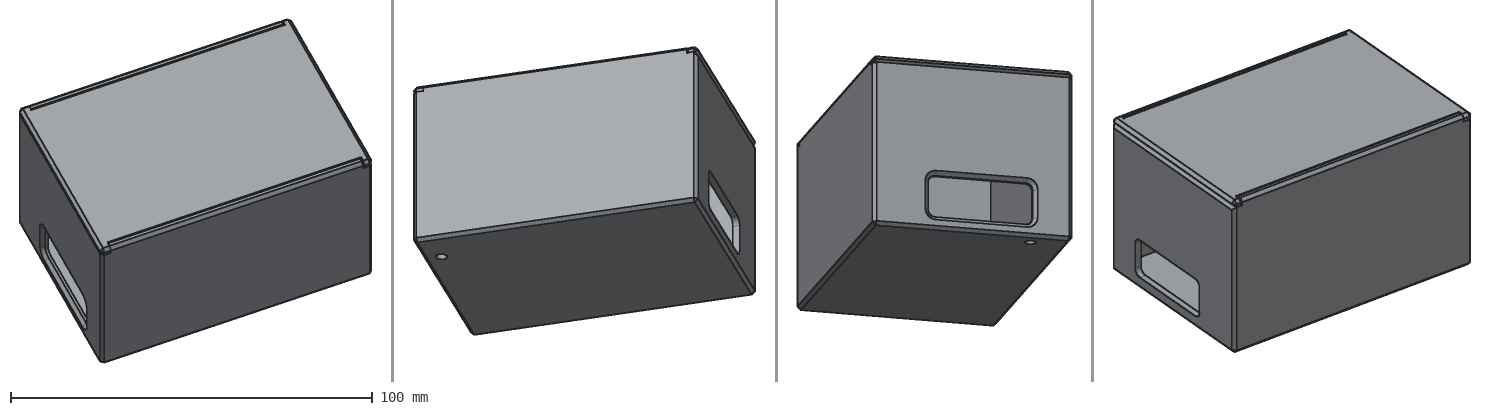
import cadquery as cq

width = 57.0
length = 82.0
height = 49.0
edge_chamfer = 1.0
lid_underside_chamfer = 0.9

wall = 2.0
floor = 2.0
lid_thickness = 2.0
body_height = height - lid_thickness

rail_thickness = 2.0
rail_end_inset = 2.95
rail_length = length - 2 * rail_end_inset

side_gap = 0.4
rear_gap = 0.5

window_width = 29.85
window_height = 12.0
window_center_x = 2.5
window_bottom = 3.85
window_radius = 2.0
window_chamfer = 1.15
flare_angle = 45

hole_diameter = 3.0
hole_x = 17.8
hole_y = -35.9

cut_margin = 0.8


def make_shell():
    """Open box with chamfered outer edges; the front rim stays sharp."""
    outer = cq.Workplane("XY").box(width, length, body_height, centered=(True, True, False))
    outer = outer.edges("|Z or <Z or (>Z and >Y)").chamfer(edge_chamfer)
    cavity = (
        cq.Workplane("XY")
        .workplane(offset=floor)
        .rect(width - 2 * wall, length - 2 * wall)
        .extrude(height)
    )
    return outer.cut(cavity)


def make_rail(side):
    """Raised strip on one side wall (side is -1 or +1), chamfered along its outer top edge."""
    outer_edge = ">X" if side > 0 else "<X"
    return (
        cq.Workplane("XY")
        .box(rail_thickness, rail_length, lid_thickness, centered=(True, True, False))
        .edges(f">Z and {outer_edge}")
        .chamfer(edge_chamfer)
        .translate((side * (width - rail_thickness) / 2, 0, body_height))
    )


def make_window():
    """Rounded opening through both end walls, flared at the front face."""
    center_z = window_bottom + window_height / 2
    front_face = cq.Workplane("XZ", origin=(window_center_x, -length / 2, center_z))
    opening = (
        front_face.rect(window_width, window_height)
        .extrude(-(length + cut_margin))
        .edges("|Y")
        .fillet(window_radius)
    )
    flare = (
        front_face.sketch()
        .rect(window_width + 2 * window_chamfer, window_height + 2 * window_chamfer)
        .vertices()
        .fillet(window_radius + window_chamfer)
        .finalize()
        .extrude(-window_chamfer, taper=flare_angle)
    )
    return opening.union(flare)


def make_box():
    """Housing: shell with rails, end windows and a screw hole."""
    box = make_shell()
    for side in (-1, 1):
        box = box.union(make_rail(side))
    hole = cq.Workplane("XY").center(hole_x, hole_y).circle(hole_diameter / 2).extrude(floor)
    return box.cut(make_window()).cut(hole)


def make_lid():
    """Slab with chamfered outline, notched on both sides to clear the rails."""
    lid = (
        cq.Workplane("XY")
        .workplane(offset=body_height)
        .box(width, length, lid_thickness, centered=(True, True, False))
        .edges("|Z or >Z")
        .chamfer(edge_chamfer)
        .edges("<Z and (>Y or <Y)")
        .chamfer(lid_underside_chamfer)
    )
    notch_depth = rail_thickness + side_gap
    notch_length = rail_length + rear_gap
    for side in (-1, 1):
        notch = cq.Workplane("XY").box(2 * notch_depth, notch_length, 2 * lid_thickness)
        lid = lid.cut(notch.translate((side * width / 2, rear_gap / 2, height - lid_thickness / 2)))
    return lid


box = make_box()
lid = make_lid()
result = cq.Compound.makeCompound([box.val(), lid.val()])